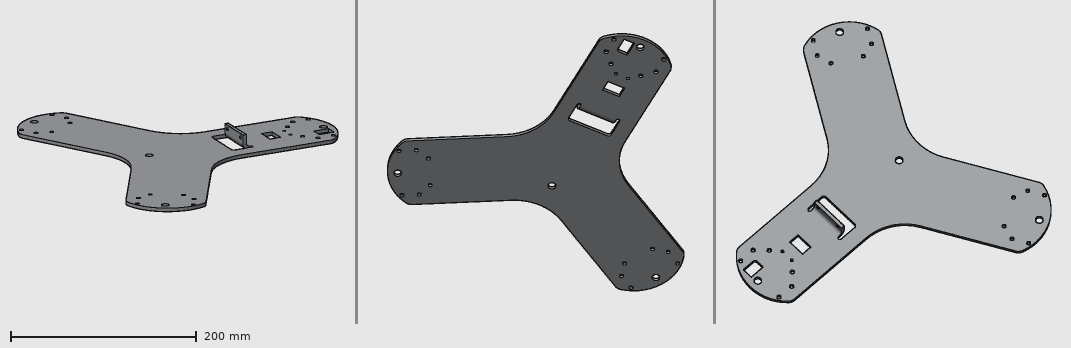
import cadquery as cq
import math

thickness = 4.0
arm_count = 3
arm_angle = 360 / arm_count
arm_half_width = 43.0
overall_width = 345.0
tip_radius = 55.0
tip_center_y = (overall_width / 2 - tip_radius) / math.sin(math.radians(arm_angle))
arm_reach = tip_center_y + tip_radius
tip_corner_radius = 10.0
crotch_radius = 60.0

mount_points = [(30.0, 176.7), (30.0, 158.0), (18.0, 145.5)]
tab_arm_mount_diameter = 4.5
plain_arm_mount_diameter = 4.0
locating_diameter = 8.3
locating_reach = 180.0
center_hole_y = -30.0
pilot_diameter = 3.0
pilot_x = 7.2
pilot_y = 136.5

notch_left, notch_right = 8.0, 20.5
notch_bottom, notch_top = 164.3, 182.0
notch_corner_radius = 2.8
port_width = 20.0
port_bottom, port_top = 110.5, 123.0

tab_width = 42.8
tab_top = 18.0
bend_radius = 4.0
bend_start_y = 80.0
tab_hole_diameter = 3.5
tab_hole_x = 15.5
tab_hole_z = 13.5
relief_width = 4.0
window_bottom = 57.3
window_top = 82.5
window_corner_radius = 3.0


def turned(shape, index):
    """Turn a shape from the +Y arm to another arm."""
    return shape.rotate((0, 0, 0), (0, 0, 1), index * arm_angle)


def plate_box(left, right, bottom, top):
    """Box through the plate thickness between four side positions."""
    return (
        cq.Workplane("XY")
        .box(right - left, top - bottom, thickness, centered=False)
        .translate((left, bottom, 0))
    )


def plate_holes(points, diameter):
    return cq.Workplane("XY").pushPoints(points).circle(diameter / 2).extrude(thickness)


def mirrored(points):
    return points + [(-x, y) for x, y in points]


def make_arm():
    corner_y = tip_center_y + math.sqrt(tip_radius**2 - arm_half_width**2)
    return (
        cq.Workplane("XY")
        .moveTo(-arm_half_width, 0)
        .lineTo(arm_half_width, 0)
        .lineTo(arm_half_width, corner_y)
        .threePointArc((0, arm_reach), (-arm_half_width, corner_y))
        .close()
        .extrude(thickness)
        .edges("|Z")
        .edges(">Y")
        .fillet(tip_corner_radius)
    )


def make_crotch():
    """Corner filler between the two arms beside the -Y direction, with a concave edge."""
    half_angle = math.radians(arm_angle / 2)
    vertex_y = -arm_half_width / math.sin(half_angle)
    arc_center_y = vertex_y - crotch_radius / math.sin(half_angle)
    tangent_x = crotch_radius * math.cos(half_angle)
    tangent_y = arc_center_y + crotch_radius * math.sin(half_angle)
    return (
        cq.Workplane("XY")
        .moveTo(0, vertex_y)
        .lineTo(-tangent_x, tangent_y)
        .threePointArc((0, arc_center_y + crotch_radius), (tangent_x, tangent_y))
        .close()
        .extrude(thickness)
    )


def make_plate():
    plate = make_arm()
    for index in range(1, arm_count):
        plate = plate.union(turned(make_arm(), index))
    for index in range(arm_count):
        plate = plate.union(turned(make_crotch(), index))
    return plate.clean()


def cut_holes(plate):
    for index in range(arm_count):
        mount_diameter = tab_arm_mount_diameter if index == 0 else plain_arm_mount_diameter
        holes = plate_holes(mirrored(mount_points), mount_diameter)
        holes = holes.union(plate_holes([(0, locating_reach)], locating_diameter))
        plate = plate.cut(turned(holes, index))
    plate = plate.cut(plate_holes([(0, center_hole_y)], locating_diameter))
    return plate.cut(plate_holes(mirrored([(pilot_x, pilot_y)]), pilot_diameter))


def cut_openings(plate):
    notch = plate_box(notch_left, notch_right, notch_bottom, notch_top)
    notch = notch.edges("|Z").edges(">X").edges("<Y").fillet(notch_corner_radius)
    port = plate_box(-port_width / 2, port_width / 2, port_bottom, port_top)
    return plate.cut(notch).cut(port)


def make_window():
    """Window with a round-ended relief slot on each side of the tab."""
    half_tab = tab_width / 2
    half_window = half_tab + relief_width
    window = plate_box(-half_window, half_window, window_bottom, bend_start_y)
    window = window.edges("|Z").edges("<Y").fillet(window_corner_radius)
    relief_radius = relief_width / 2
    relief_center_y = window_top - relief_radius
    middle_y = (window_bottom + window_top) / 2
    for side in (-1, 1):
        relief_x = side * (half_tab + relief_radius)
        relief_left = relief_x - relief_radius
        relief_right = relief_x + relief_radius
        window = window.union(plate_box(relief_left, relief_right, middle_y, relief_center_y))
        window = window.union(plate_holes([(relief_x, relief_center_y)], relief_width))
    return window


def make_tab():
    """Upright tab joined to the plate by a quarter-round bend."""
    axis_z = thickness + bend_radius
    outer_radius = bend_radius + thickness
    back_y = bend_start_y - bend_radius
    front_y = bend_start_y - outer_radius
    diagonal = math.sqrt(0.5)
    inner_middle = (bend_start_y - bend_radius * diagonal, axis_z - bend_radius * diagonal)
    outer_middle = (bend_start_y - outer_radius * diagonal, axis_z - outer_radius * diagonal)
    tab = (
        cq.Workplane("YZ")
        .moveTo(bend_start_y, 0)
        .threePointArc(outer_middle, (front_y, axis_z))
        .lineTo(front_y, tab_top)
        .lineTo(back_y, tab_top)
        .lineTo(back_y, axis_z)
        .threePointArc(inner_middle, (bend_start_y, thickness))
        .close()
        .extrude(tab_width / 2, both=True)
    )
    holes = (
        cq.Workplane("XZ", origin=(0, back_y, 0))
        .pushPoints(mirrored([(tab_hole_x, tab_hole_z)]))
        .circle(tab_hole_diameter / 2)
        .extrude(thickness)
    )
    return tab.cut(holes)


result = cut_openings(cut_holes(make_plate())).cut(make_window()).union(make_tab())